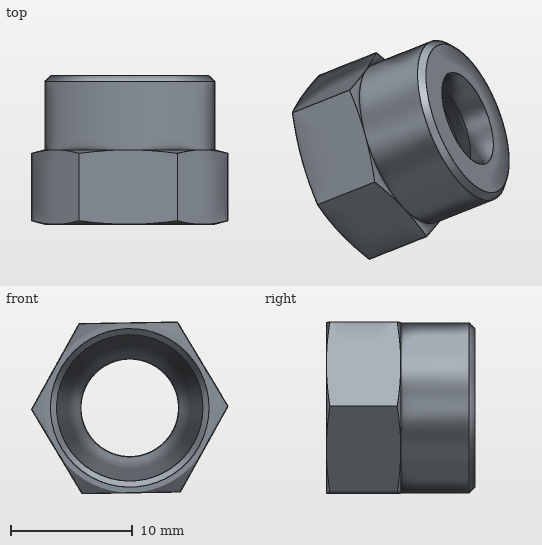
import cadquery as cq
import math

total_length = 12.2
hex_length = 6.1
hex_across_flats = 13.95
hex_tilt = 0.95
hex_chamfer_angle = 15.0
collar_diameter = hex_across_flats
collar_chamfer = 0.5

bore_diameter = 12.0
bore_depth = 8.0
mouth_chamfer = 0.5
hole_diameter = 8.0
cone_half_angle = 45.0

hex_sides = 6
hex_across_corners = hex_across_flats / math.cos(math.pi / hex_sides)
hex_corner_radius = hex_across_corners / 2
collar_radius = collar_diameter / 2
bore_radius = bore_diameter / 2
hole_radius = hole_diameter / 2
cone_length = (bore_radius - hole_radius) / math.tan(math.radians(cone_half_angle))


def revolve_about_y(points):
    """Solid of revolution about Y from (radius, y) points."""
    return cq.Workplane("XY").polyline(points).close().revolve(360, (0, 0), (0, 1))


def make_hexagon():
    """Hexagon whose corners are chamfered at both ends, starting at the flats' inscribed circle."""
    flats_radius = hex_across_flats / 2
    corner_drop = (hex_corner_radius - flats_radius) * math.tan(math.radians(hex_chamfer_angle))
    prism = (
        cq.Workplane("XZ")
        .polygon(hex_sides, hex_across_corners)
        .extrude(-hex_length)
        .rotate((0, 0, 0), (0, 1, 0), -hex_tilt)
    )
    envelope = revolve_about_y([
        (0, 0),
        (flats_radius, 0),
        (hex_corner_radius, corner_drop),
        (hex_corner_radius, hex_length - corner_drop),
        (flats_radius, hex_length),
        (0, hex_length),
    ])
    return prism.intersect(envelope)


def make_collar():
    """Round collar chamfered at its free end, its root sunk into the hexagon for a sound union."""
    root_y = hex_length / 2
    return revolve_about_y([
        (0, root_y),
        (collar_radius, root_y),
        (collar_radius, total_length - collar_chamfer),
        (collar_radius - collar_chamfer, total_length),
        (0, total_length),
    ])


def make_bore():
    """Stepped bore, open at both ends, narrowing through a cone to the small hole."""
    return revolve_about_y([
        (0, 0),
        (bore_radius + mouth_chamfer, 0),
        (bore_radius, mouth_chamfer),
        (bore_radius, bore_depth),
        (hole_radius, bore_depth + cone_length),
        (hole_radius, total_length),
        (0, total_length),
    ])


result = make_hexagon().union(make_collar()).cut(make_bore())